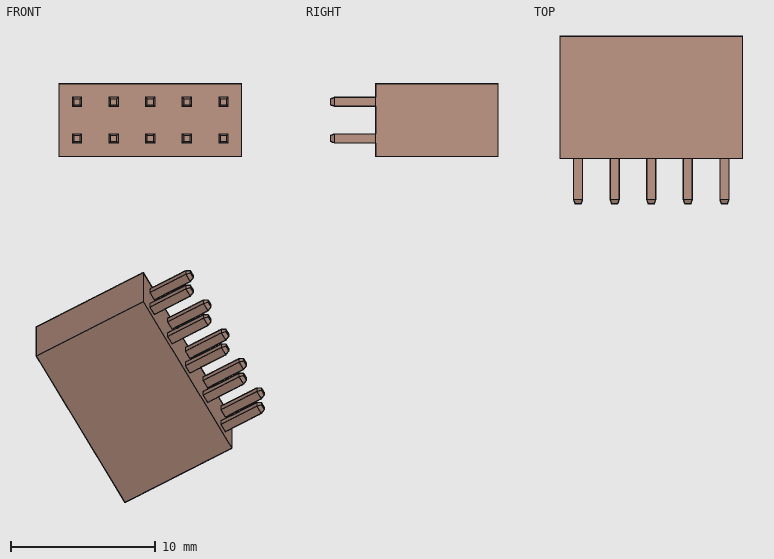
import cadquery as cq

columns = 5
rows = 2
pitch = 2.54

body_width = columns * pitch
body_height = rows * pitch
body_depth = 8.5

pin_side = 0.64
pin_length = 3.15
tip_length = 0.3
tip_side = 0.42


def make_body():
    """Housing block whose pin face lies on the plane Y = 0."""
    return cq.Workplane("XY").box(body_width, body_depth, body_height, centered=(True, False, True))


def make_pin(x, z):
    """Square pin running from the housing face toward -Y, ending in a tapered tip."""
    shank_length = pin_length - tip_length
    face = cq.Workplane("XZ").center(x, z)
    shank = face.rect(pin_side, pin_side).extrude(shank_length)
    tip = (
        face.workplane(offset=shank_length)
        .rect(pin_side, pin_side)
        .workplane(offset=tip_length)
        .rect(tip_side, tip_side)
        .loft(ruled=True)
    )
    return shank.union(tip)


result = make_body()
for column in range(columns):
    for row in range(rows):
        pin_x = (column - (columns - 1) / 2) * pitch
        pin_z = (row - (rows - 1) / 2) * pitch
        result = result.union(make_pin(pin_x, pin_z))